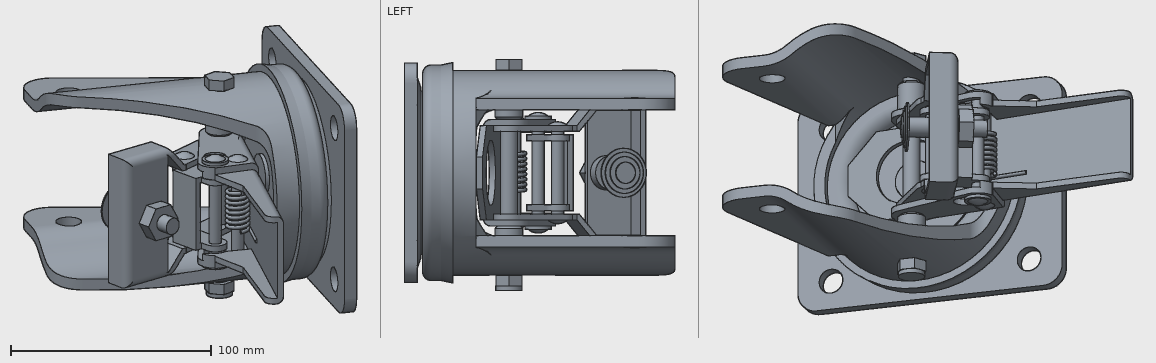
import cadquery as cq
import math


PLATE_X, PLATE_Z, PLATE_T = 140.0, 109.8, 6.5
PLATE_CORNER_R = 10.0
PLATE_HOLE_SPACING_X, PLATE_HOLE_SPACING_Z, PLATE_HOLE_D = 104.9, 80.2, 12.5
RACE_R, RACE_END_R, RACE_END, RACE_NECK_R = 47.7, 42.8, 8.2, 40.9
HUB_R, HUB_DEPTH = 32.5, 27.2
KING_PIN_R, KING_PIN_DEPTH = 10.3, 29.2

RING_TOP, RING_SKIRT, RING_BOTTOM = 9.0, 18.5, 24.1
RING_R, RING_LIP_R = 54.0, 55.0
RING_EDGE_R = 4.7

FORK_R, SHEET_T = 51.2, 5.8
WALL_INNER_R = FORK_R - SHEET_T
RIM_Y, FORK_BOTTOM_Y = -35.8, -135.0
CROWN_T = 7.8
CROWN_EDGE_R = 7.5
FLANGE_OUTER_Z = 37.2
BEND_R = 19.5
SLOPE_START_X, SLOPE_END = -39.7, (-29.2, -44.4)
LEG_TOP_BACK_X, LEG_TOP_FRONT_X = -43.4, 36.0
LEG_BOTTOM_BACK_X, LEG_BOTTOM_FRONT_X = -73.4, -4.0
LEG_BACK_R, LEG_FRONT_R, LEG_RIM_R = 14.2, 20.8, 8.8
WHEEL_AXLE = (-45.1, -115.0)
WHEEL_AXLE_D = 12.8

PIVOT = (6.5, -52.2)
PIVOT_R = 4.3
HEX_FLATS = 13.0
HEAD_TOP_Z = 56.6
STUB_R, STUB_END_Z = 6.6, -58.8
BUSH_R, BUSH_END_Z, BUSH_CHAMFER = 7.0, 42.6, 1.2

PEDAL_SLOPE = math.radians(7)
PEDAL_T = 3.1
OVERALL_X = 194.6
PEDAL_END_X = OVERALL_X - PLATE_X / 2
PEDAL_END_Y = -55.0
TONGUE_START_X, TONGUE_HALF_Z, TONGUE_TIP_HALF_Z = -32.0, 23.5, 8.0
TONGUE_CORNER_X = -16.2
JOG_TOP_X, JOG_BOTTOM = 53.7, (55.7, -69.7)
HANDLE_KNEE, HANDLE_TIP, HANDLE_TIP_R = (75.7, -61.1), (124.0, -63.6), 4.7
CHEEK_OUTER_Z = 26.7
HANDLE_OUTER_Z = 23.2
PEDAL_BEND_R = 3.9
ACCESS_R, ACCESS_SHIFT = 16.2, 3.9
CHEEK_PIVOT_R, CHEEK_PIN_R = 10.1, 8.8

SPRING_PIN = (46.1, -54.9)
SLOT_PIN = (46.7, -66.8)
LINK_PIN = (25.7, -76.5)
PIN_R, PIN_HEAD_R, PIN_HEAD_H = 3.1, 5.0, 2.0
SLOT_START = (38.7, -64.5)
SLOT_R = 5.5
WASHER_R, WASHER_T = 6.6, 1.5
LINK_R, LINK_OUTER_Z, LINK_T = 5.8, 19.0, 3.1
LINK_WEB_OFFSET, LINK_WEB_START, LINK_WEB_END = 9.7, 2.3, 19.5

SPRING_R, SPRING_HALF_L, WIRE_R, SPRING_TURNS = 5.3, 10.3, 1.0, 8
SPRING_LEG_X = 67.0

YOKE_CORNER = (25.5, -87.2)
YOKE_ANGLE = math.radians(-66.3)
YOKE_T = 3.0
YOKE_PIVOT_R, YOKE_PIN_R = 7.5, 8.0
NECK_BACK_ANGLE, NECK_FRONT_ANGLE = 202, 45
YOKE_INNER_OUT_Z, YOKE_WIDE_OUT_Z = 23.5, 34.0
FLARE_START, FLARE_LENGTH = -1.2, 9.3
YOKE_WIDTH, YOKE_LENGTH = 14.5, 36.4
YOKE_WEB_START = 9.7
YOKE_EDGE_R = 4.3

SCREW_S = 19.9
SCREW_R, THREAD_R = 5.0, 4.3
FOOT_R, FOOT_BACK, FOOT_STEPS, FOOT_STEP_H, FOOT_TAPER = 12.3, -9.7, 4, 0.8, 0.6
SLEEVE_R, SLEEVE_START = 8.5, 5.3
NUT_CORNERS, NUT_START, NUT_END, SCREW_END = 19.5, 15.5, 22.8, 30.0


def hub_plane(y):
    """Plane facing -Y at height y; its local x is X and its local y is Z."""
    return cq.Workplane("XZ", origin=(0, y, 0))


def cylinder_z(center, radius, low, high):
    return cq.Workplane("XY", origin=(*center, low)).circle(radius).extrude(high - low)


def mirrored(upper):
    return upper.union(upper.mirror("XY"))


def strap(center_a, radius_a, center_b, radius_b, low, high):
    """Flat bar with round ends of different radii, joined by their outer tangents."""
    dx, dy = center_b[0] - center_a[0], center_b[1] - center_a[1]
    heading = math.atan2(dy, dx)
    spread = math.acos((radius_a - radius_b) / math.hypot(dx, dy))

    def tangent(center, radius, side):
        angle = heading + side * spread
        return (center[0] + radius * math.cos(angle), center[1] + radius * math.sin(angle))

    sides = [
        tangent(center_a, radius_a, 1),
        tangent(center_a, radius_a, -1),
        tangent(center_b, radius_b, -1),
        tangent(center_b, radius_b, 1),
    ]
    bar = cq.Workplane("XY", origin=(0, 0, low)).polyline(sides).close().extrude(high - low)
    bar = bar.union(cylinder_z(center_a, radius_a, low, high))
    return bar.union(cylinder_z(center_b, radius_b, low, high))


def make_plate():
    plate = hub_plane(0).rect(PLATE_X, PLATE_Z).extrude(PLATE_T).edges("|Y").fillet(PLATE_CORNER_R)
    plate = plate.cut(
        hub_plane(0)
        .rect(PLATE_HOLE_SPACING_X, PLATE_HOLE_SPACING_Z, forConstruction=True)
        .vertices()
        .circle(PLATE_HOLE_D / 2)
        .extrude(PLATE_T)
    )
    race = (
        cq.Workplane("XY")
        .moveTo(0, -PLATE_T)
        .lineTo(RACE_R, -PLATE_T)
        .lineTo(RACE_END_R, -RACE_END)
        .lineTo(RACE_NECK_R, -RACE_END)
        .lineTo(RACE_NECK_R, -RING_TOP)
        .lineTo(HUB_R, -RING_TOP)
        .lineTo(HUB_R, -HUB_DEPTH)
        .lineTo(KING_PIN_R, -HUB_DEPTH)
        .lineTo(KING_PIN_R, -KING_PIN_DEPTH)
        .lineTo(0, -KING_PIN_DEPTH)
        .close()
        .revolve(360, (0, 0, 0), (0, 1, 0))
    )
    return plate.union(race)


def make_dust_ring():
    """Ring around the hub, with a rounded top edge and a flared lower lip."""
    corner = RING_EDGE_R * (1 - math.sqrt(0.5))
    return (
        cq.Workplane("XY")
        .moveTo(HUB_R, -RING_TOP)
        .lineTo(RING_R - RING_EDGE_R, -RING_TOP)
        .threePointArc((RING_R - corner, -RING_TOP - corner), (RING_R, -RING_TOP - RING_EDGE_R))
        .lineTo(RING_R, -RING_SKIRT)
        .lineTo(RING_LIP_R, -RING_BOTTOM)
        .lineTo(HUB_R, -RING_BOTTOM)
        .close()
        .revolve(360, (0, 0, 0), (0, 1, 0))
    )


def bend_center():
    """Center of the bend between the round wall and the flat flange, for the +Z leg."""
    z = FLANGE_OUTER_Z + BEND_R
    return (-math.sqrt((FORK_R + BEND_R) ** 2 - z**2), z)


def make_cup():
    """Crown with a rounded inner lower edge, and a round wall as long as the legs."""
    crown_y = -RING_BOTTOM - CROWN_T
    corner = CROWN_EDGE_R * (1 - math.sqrt(0.5))
    return (
        cq.Workplane("XY")
        .moveTo(HUB_R, -RING_BOTTOM)
        .lineTo(FORK_R, -RING_BOTTOM)
        .lineTo(FORK_R, FORK_BOTTOM_Y)
        .lineTo(WALL_INNER_R, FORK_BOTTOM_Y)
        .lineTo(WALL_INNER_R, crown_y)
        .lineTo(HUB_R + CROWN_EDGE_R, crown_y)
        .threePointArc((HUB_R + corner, crown_y + corner), (HUB_R, crown_y + CROWN_EDGE_R))
        .close()
        .revolve(360, (0, 0, 0), (0, 1, 0))
    )


def make_mouth():
    """Space between the flanges on the -X side, where the round wall is cut away.

    It is a wedge from the swivel axis through both bend centers, with a sloping top at its corners.
    """
    bend_x, bend_z = bend_center()
    wedge = (
        hub_plane(RIM_Y)
        .polyline([(0, 0), (2 * bend_x, 2 * bend_z), (2 * bend_x, -2 * bend_z)])
        .close()
        .extrude(RIM_Y - FORK_BOTTOM_Y)
    )
    return wedge.intersect(make_below_slope())


def make_below_slope():
    """Everything below the sloping upper end of the bends."""
    outline = [
        (LEG_BOTTOM_BACK_X, RIM_Y),
        (SLOPE_START_X, RIM_Y),
        SLOPE_END,
        (0, SLOPE_END[1]),
        (0, FORK_BOTTOM_Y),
        (LEG_BOTTOM_BACK_X, FORK_BOTTOM_Y),
    ]
    return cq.Workplane("XY").polyline(outline).close().extrude(FORK_R, both=True)


def make_flange():
    """Flat flange of the +Z leg and the bend that joins it to the round wall."""
    flange_inner_z = FLANGE_OUTER_Z - SHEET_T
    bend_x, bend_z = bend_center()
    bend_angle = math.atan2(-bend_x, bend_z)

    def on_wall(radius):
        return (-radius * math.sin(bend_angle), radius * math.cos(bend_angle))

    def on_bend(radius):
        half = bend_angle / 2
        return (bend_x + radius * math.sin(half), bend_z - radius * math.cos(half))

    flange = (
        hub_plane(RIM_Y)
        .moveTo(LEG_BOTTOM_BACK_X, flange_inner_z)
        .lineTo(LEG_BOTTOM_BACK_X, FLANGE_OUTER_Z)
        .lineTo(bend_x, FLANGE_OUTER_Z)
        .threePointArc(on_bend(BEND_R), on_wall(FORK_R))
        .lineTo(*on_wall(WALL_INNER_R))
        .threePointArc(on_bend(BEND_R + SHEET_T), (bend_x, flange_inner_z))
        .close()
        .extrude(RIM_Y - FORK_BOTTOM_Y)
    )
    return flange.intersect(make_below_slope())


def make_fork_envelope():
    """Side outline of the fork: the full rim above, the tapered round-cornered legs below."""
    reach = -LEG_BOTTOM_BACK_X
    outline = [
        (-reach, 0),
        (reach, 0),
        (reach, RIM_Y),
        (LEG_TOP_FRONT_X, RIM_Y),
        (LEG_BOTTOM_FRONT_X, FORK_BOTTOM_Y),
        (LEG_BOTTOM_BACK_X, FORK_BOTTOM_Y),
        (LEG_TOP_BACK_X, RIM_Y),
        (-reach, RIM_Y),
    ]
    envelope = cq.Workplane("XY").polyline(outline).close().extrude(FORK_R, both=True)
    corners = [
        (LEG_TOP_FRONT_X, RIM_Y, LEG_RIM_R),
        (LEG_BOTTOM_FRONT_X, FORK_BOTTOM_Y, LEG_FRONT_R),
        (LEG_BOTTOM_BACK_X, FORK_BOTTOM_Y, LEG_BACK_R),
    ]
    for x, y, radius in corners:
        envelope = envelope.edges(cq.NearestToPointSelector((x, y, 0))).fillet(radius)
    return envelope


def make_fork():
    fork = make_cup().cut(make_mouth()).union(mirrored(make_flange()))
    fork = fork.intersect(make_fork_envelope())
    fork = fork.cut(cylinder_z(WHEEL_AXLE, WHEEL_AXLE_D / 2, -FORK_R, FORK_R))
    return fork.cut(cylinder_z(PIVOT, PIVOT_R, -FORK_R, FORK_R))


def make_pivot_bolt():
    corners_d = HEX_FLATS / math.cos(math.pi / 6)
    bolt = cylinder_z(PIVOT, PIVOT_R, -FORK_R, FORK_R)
    head = cq.Workplane("XY", origin=(*PIVOT, FORK_R)).polygon(6, corners_d).extrude(HEAD_TOP_Z - FORK_R)
    bush = cylinder_z(PIVOT, BUSH_R, CHEEK_OUTER_Z, BUSH_END_Z).faces("<Z or >Z").chamfer(BUSH_CHAMFER)
    bolt = bolt.union(mirrored(head.union(bush)))
    return bolt.union(cylinder_z(PIVOT, STUB_R, STUB_END_Z, -HEAD_TOP_Z))


def pedal_top_y(x):
    return PEDAL_END_Y + (PEDAL_END_X - x) * math.tan(PEDAL_SLOPE)


def pedal_underside_y(x):
    return pedal_top_y(x) - PEDAL_T / math.cos(PEDAL_SLOPE)


def below_web(start_x, end_top_x, end_bottom_x, half_z):
    """Block of open space under the sloping web, used to hollow the channel."""
    outline = [
        (start_x, pedal_underside_y(start_x)),
        (end_top_x, pedal_underside_y(end_top_x)),
        (end_bottom_x, FORK_BOTTOM_Y),
        (start_x, FORK_BOTTOM_Y),
    ]
    return cq.Workplane("XY").polyline(outline).close().extrude(half_z, both=True)


def round_top_bends(block, start_x, end_x, half_z):
    """Rounds the two long edges where the web bends down into the flanges."""
    middle_x = (start_x + end_x) / 2
    for side in (1, -1):
        middle = (middle_x, pedal_top_y(middle_x), side * half_z)
        block = block.edges(cq.NearestToPointSelector(middle)).fillet(PEDAL_BEND_R)
    return block


def make_cheek_block():
    start_x = PIVOT[0] - CHEEK_PIVOT_R
    outline = [
        (start_x, pedal_top_y(start_x)),
        (JOG_TOP_X, pedal_top_y(JOG_TOP_X)),
        JOG_BOTTOM,
        SLOT_PIN,
        PIVOT,
        (start_x, PIVOT[1]),
    ]
    block = cq.Workplane("XY").polyline(outline).close().extrude(CHEEK_OUTER_Z, both=True)
    block = round_top_bends(block, start_x, JOG_TOP_X, CHEEK_OUTER_Z)
    return block.union(strap(PIVOT, CHEEK_PIVOT_R, SLOT_PIN, CHEEK_PIN_R, -CHEEK_OUTER_Z, CHEEK_OUTER_Z))


def make_handle_block():
    outline = [
        (JOG_TOP_X, pedal_top_y(JOG_TOP_X)),
        (PEDAL_END_X, PEDAL_END_Y),
        HANDLE_TIP,
        HANDLE_KNEE,
        JOG_BOTTOM,
    ]
    block = cq.Workplane("XY").polyline(outline).close().extrude(HANDLE_OUTER_Z, both=True)
    block = round_top_bends(block, JOG_TOP_X, PEDAL_END_X, HANDLE_OUTER_Z)
    return block.edges(cq.NearestToPointSelector((*HANDLE_TIP, 0))).fillet(HANDLE_TIP_R)


def make_tongue():
    """Flat tongue with cropped corners, which extends the web under the crown."""
    start_x = PIVOT[0]
    profile = [
        (TONGUE_START_X, pedal_top_y(TONGUE_START_X)),
        (start_x, pedal_top_y(start_x)),
        (start_x, pedal_underside_y(start_x)),
        (TONGUE_START_X, pedal_underside_y(TONGUE_START_X)),
    ]
    plan = [
        (TONGUE_START_X, -TONGUE_TIP_HALF_Z),
        (TONGUE_START_X, TONGUE_TIP_HALF_Z),
        (TONGUE_CORNER_X, TONGUE_HALF_Z),
        (start_x, TONGUE_HALF_Z),
        (start_x, -TONGUE_HALF_Z),
        (TONGUE_CORNER_X, -TONGUE_HALF_Z),
    ]
    tongue = cq.Workplane("XY").polyline(profile).close().extrude(TONGUE_HALF_Z, both=True)
    return tongue.intersect(hub_plane(0).polyline(plan).close().extrude(-FORK_BOTTOM_Y))


def make_access_hole():
    """Round-ended opening through the web, below the king pin."""
    return (
        hub_plane(0)
        .center(ACCESS_SHIFT / 2, 0)
        .slot2D(2 * ACCESS_R + ACCESS_SHIFT, 2 * ACCESS_R)
        .extrude(-pedal_underside_y(PEDAL_END_X))
    )


def make_pedal_shell():
    start_x = PIVOT[0] - CHEEK_PIVOT_R
    shell = make_cheek_block().union(make_handle_block())
    handle_gap = below_web(start_x - 2, PEDAL_END_X + 2, PEDAL_END_X + 2, HANDLE_OUTER_Z - PEDAL_T)
    cheek_gap_end_x = JOG_TOP_X - PEDAL_T
    cheek_gap = below_web(start_x - 2, cheek_gap_end_x, cheek_gap_end_x, CHEEK_OUTER_Z - PEDAL_T)
    shell = shell.cut(handle_gap).cut(cheek_gap).union(make_tongue()).cut(make_access_hole())
    shell = shell.cut(cylinder_z(PIVOT, PIVOT_R, -CHEEK_OUTER_Z, CHEEK_OUTER_Z))
    return shell.cut(strap(SLOT_START, SLOT_R, SLOT_PIN, SLOT_R, -CHEEK_OUTER_Z, CHEEK_OUTER_Z))


def make_riveted_pin(center, seat_z):
    """Pin across the mechanism with a domed head on each seat."""
    shank = cylinder_z(center, PIN_R, -seat_z, seat_z)
    dome_r = (PIN_HEAD_R**2 + PIN_HEAD_H**2) / (2 * PIN_HEAD_H)
    drop = dome_r - PIN_HEAD_H
    half = math.asin(PIN_HEAD_R / dome_r) / 2
    dome = (
        cq.Workplane("XZ", origin=(*center, seat_z))
        .lineTo(PIN_HEAD_R, 0)
        .threePointArc((dome_r * math.sin(half), dome_r * math.cos(half) - drop), (0, PIN_HEAD_H))
        .close()
        .revolve(360, (0, 0, 0), (0, 1, 0))
    )
    return shank.union(mirrored(dome))


def make_link():
    """Small channel that joins the slotted pin to the link pin."""
    inner_z = LINK_OUTER_Z - LINK_T
    heading = math.atan2(SLOT_PIN[1] - LINK_PIN[1], SLOT_PIN[0] - LINK_PIN[0])
    along = cq.Plane(
        origin=(*LINK_PIN, 0),
        xDir=(math.cos(heading), math.sin(heading), 0),
        normal=(0, 0, 1),
    )
    length = LINK_WEB_END - LINK_WEB_START

    def block(depth, half_z):
        return (
            cq.Workplane(along)
            .center(LINK_WEB_START, -LINK_WEB_OFFSET)
            .rect(length, depth, centered=False)
            .extrude(half_z, both=True)
        )

    link = block(LINK_T, LINK_OUTER_Z)
    tabs = block(LINK_WEB_OFFSET, LINK_OUTER_Z).cut(block(LINK_WEB_OFFSET, inner_z))
    arm = strap(LINK_PIN, LINK_R, SLOT_PIN, LINK_R, inner_z, LINK_OUTER_Z)
    return link.union(tabs).union(mirrored(arm))


def make_spring_coil():
    """Coil around the spring pin."""
    pitch = 2 * SPRING_HALF_L / SPRING_TURNS
    path = cq.Wire.makeHelix(pitch, 2 * SPRING_HALF_L, SPRING_R, center=cq.Vector(*SPRING_PIN, -SPRING_HALF_L))
    start = (SPRING_PIN[0] + SPRING_R, SPRING_PIN[1], -SPRING_HALF_L)
    return cq.Workplane("XZ", origin=start).circle(WIRE_R).sweep(cq.Workplane(path), isFrenet=True)


def make_spring_leg():
    """Straight end of the spring, resting in the pedal web."""
    return (
        cq.Workplane(
            cq.Plane(
                origin=(SPRING_PIN[0], pedal_underside_y(SPRING_PIN[0]), -SPRING_HALF_L),
                xDir=(0, 0, 1),
                normal=(math.cos(PEDAL_SLOPE), -math.sin(PEDAL_SLOPE), 0),
            )
        )
        .circle(WIRE_R)
        .extrude((SPRING_LEG_X - SPRING_PIN[0]) / math.cos(PEDAL_SLOPE))
    )


def make_pedal():
    """Pedal with its riveted pins, toggle link and spring, all held together by the pins."""
    washer = cylinder_z(SLOT_PIN, WASHER_R, CHEEK_OUTER_Z, CHEEK_OUTER_Z + WASHER_T)
    pedal = make_pedal_shell()
    pedal = pedal.union(make_riveted_pin(SPRING_PIN, CHEEK_OUTER_Z))
    pedal = pedal.union(make_riveted_pin(SLOT_PIN, CHEEK_OUTER_Z + WASHER_T))
    pedal = pedal.union(mirrored(washer)).union(make_link())
    pedal = pedal.union(make_riveted_pin(LINK_PIN, YOKE_INNER_OUT_Z))
    return pedal.union(make_spring_leg()).union(make_spring_coil())


YOKE_ALONG = cq.Vector(math.cos(YOKE_ANGLE), math.sin(YOKE_ANGLE), 0)
YOKE_ACROSS = cq.Vector(-math.sin(YOKE_ANGLE), math.cos(YOKE_ANGLE), 0)
YOKE_ORIGIN = cq.Vector(*YOKE_CORNER, 0)


def yoke_point(s, n):
    point = YOKE_ORIGIN + YOKE_ALONG * s + YOKE_ACROSS * n
    return (point.x, point.y)


def make_flared_arm():
    """Lower part of the +Z arm, which flares outward and then runs straight."""
    inner_z = YOKE_INNER_OUT_Z - YOKE_T
    wide_inner_z = YOKE_WIDE_OUT_Z - YOKE_T
    flare_angle = math.atan2(YOKE_WIDE_OUT_Z - YOKE_INNER_OUT_Z, FLARE_LENGTH)
    shift = YOKE_T * math.tan(flare_angle / 2)
    flare_end = FLARE_START + FLARE_LENGTH
    section = [
        (FLARE_START - shift, inner_z),
        (FLARE_START + shift, inner_z),
        (flare_end + shift, wide_inner_z),
        (YOKE_LENGTH, wide_inner_z),
        (YOKE_LENGTH, YOKE_WIDE_OUT_Z),
        (flare_end, YOKE_WIDE_OUT_Z),
        (FLARE_START, YOKE_INNER_OUT_Z),
        (FLARE_START - shift, YOKE_INNER_OUT_Z),
    ]
    plane = cq.Plane(origin=YOKE_ORIGIN, xDir=YOKE_ALONG, normal=YOKE_ACROSS * -1)
    return cq.Workplane(plane).polyline(section).close().extrude(-YOKE_WIDTH)


def make_upper_arm():
    """Upper part of the +Z arm, from the pivot past the link pin to the bend."""
    inner_z = YOKE_INNER_OUT_Z - YOKE_T

    def on_pin_end(degrees):
        angle = math.radians(degrees)
        return (LINK_PIN[0] + YOKE_PIN_R * math.cos(angle), LINK_PIN[1] + YOKE_PIN_R * math.sin(angle))

    outline = [
        on_pin_end(NECK_BACK_ANGLE),
        yoke_point(FLARE_START, 0),
        yoke_point(FLARE_START, YOKE_WIDTH),
        on_pin_end(NECK_FRONT_ANGLE),
    ]
    neck = cq.Workplane("XY", origin=(0, 0, inner_z)).polyline(outline).close().extrude(YOKE_T)
    return neck.union(strap(PIVOT, YOKE_PIVOT_R, LINK_PIN, YOKE_PIN_R, inner_z, YOKE_INNER_OUT_Z))


def make_yoke_envelope():
    """Block around the tray and flared arms; its rounded edges give the bends at the web."""
    start = FLARE_START - YOKE_T
    outline = [
        yoke_point(start, 0),
        yoke_point(YOKE_LENGTH, 0),
        yoke_point(YOKE_LENGTH, YOKE_WIDTH),
        yoke_point(start, YOKE_WIDTH),
    ]
    block = cq.Workplane("XY").polyline(outline).close().extrude(YOKE_WIDE_OUT_Z, both=True)
    end = (*yoke_point(YOKE_LENGTH, YOKE_WIDTH), 0)
    round_end = block.edges(cq.NearestToPointSelector(end)).fillet(YOKE_EDGE_R)
    round_sides = block
    for side in (1, -1):
        web_edge = (*yoke_point((start + YOKE_LENGTH) / 2, YOKE_WIDTH), side * YOKE_WIDE_OUT_Z)
        round_sides = round_sides.edges(cq.NearestToPointSelector(web_edge)).fillet(YOKE_EDGE_R)
    return round_end.intersect(round_sides)


def make_yoke():
    tray_outline = [
        yoke_point(YOKE_WEB_START, YOKE_WIDTH),
        yoke_point(YOKE_LENGTH, YOKE_WIDTH),
        yoke_point(YOKE_LENGTH, 0),
        yoke_point(YOKE_LENGTH - YOKE_T, 0),
        yoke_point(YOKE_LENGTH - YOKE_T, YOKE_WIDTH - YOKE_T),
        yoke_point(YOKE_WEB_START, YOKE_WIDTH - YOKE_T),
    ]
    tray = cq.Workplane("XY").polyline(tray_outline).close().extrude(YOKE_WIDE_OUT_Z, both=True)
    yoke = tray.union(mirrored(make_flared_arm())).intersect(make_yoke_envelope())
    yoke = yoke.union(mirrored(make_upper_arm()))
    for center, radius in ((PIVOT, PIVOT_R), (LINK_PIN, PIN_R)):
        yoke = yoke.cut(cylinder_z(center, radius, -YOKE_INNER_OUT_Z, YOKE_INNER_OUT_Z))
    screw_hole = screw_plane(0).circle(SCREW_R).extrude(YOKE_WIDTH)
    return yoke.cut(screw_hole)


def screw_plane(n):
    """Plane across the screw axis at position n, facing outward; its local x runs along the yoke."""
    origin = YOKE_ORIGIN + YOKE_ALONG * SCREW_S + YOKE_ACROSS * n
    return cq.Workplane(cq.Plane(origin=origin, xDir=YOKE_ALONG, normal=YOKE_ACROSS))


def make_adjusting_screw():
    screw = screw_plane(FOOT_BACK).circle(SCREW_R).extrude(NUT_START - FOOT_BACK)
    for step in range(FOOT_STEPS):
        radius = FOOT_R * (1 - step / FOOT_STEPS) ** FOOT_TAPER
        screw = screw.union(screw_plane(FOOT_BACK).circle(radius).extrude(-FOOT_STEP_H * (step + 1)))
    sleeve_end = YOKE_WIDTH - YOKE_T
    screw = screw.union(screw_plane(SLEEVE_START).circle(SLEEVE_R).extrude(sleeve_end - SLEEVE_START))
    screw = screw.union(screw_plane(NUT_START).polygon(6, NUT_CORNERS).extrude(NUT_END - NUT_START))
    return screw.union(screw_plane(NUT_END).circle(THREAD_R).extrude(SCREW_END - NUT_END))


plate = make_plate()
dust_ring = make_dust_ring()
fork = make_fork()
pivot_bolt = make_pivot_bolt()
pedal = make_pedal()
yoke = make_yoke()
adjusting_screw = make_adjusting_screw()

bodies = [plate, dust_ring, fork, pivot_bolt, pedal, yoke, adjusting_screw]
result = cq.Compound.makeCompound([body.solids().val() for body in bodies])